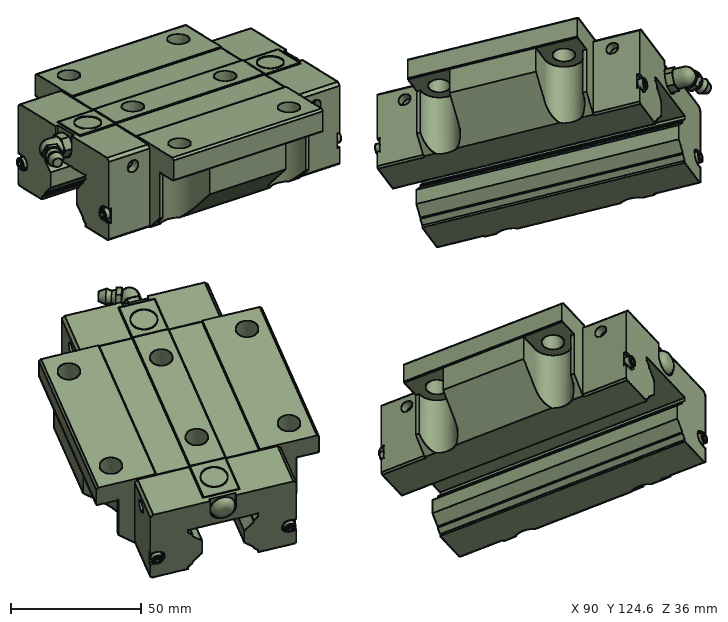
import cadquery as cq
import math

height = 36.0
block_width = 90.0
block_length = 71.0

flange_bottom_z = 26.3
flange_top_chamfer = 0.9
flange_bottom_chamfer = 0.4
foot_half_width = block_width / 2 - flange_bottom_chamfer
foot_slope_start_z = 15.2
top_step = 0.4
center_strip_half_width = 7.1
outer_pad_inner_x = 21.0

hole_diameter = 8.7
corner_hole_pitch_x = 72.0
corner_hole_pitch_y = 52.0
center_hole_pitch_y = 44.0
clearance_radius = 8.0

end_half_width = 29.5
end_half_length = 54.9
seal_thickness = 2.5
end_top_z = height - 2 * top_step
end_top_chamfer = 1.2
end_bottom_chamfer = 0.7
cap_port_y = 43.5
top_port_radius = 5.2
top_port_depth = 0.4
side_port_radius = 2.5
side_port_depth = 3.7
side_port_z = 28.8

opening_half_width = 14.2
opening_top_z = 21.9
lip_half_width = 12.3
throat_half_width = 8.5
lower_lip_z = 3.5
lower_lip_step = 0.6
upper_lip_z = 18.5
upper_lip_step = 0.7

screw_x = 26.8
screw_z = 10.6
screw_pocket_radius = 3.1
screw_head_radius = 2.2
screw_head_height = 2.4
screw_edge_chamfer = 0.2
socket_corner_diameter = 2.7
socket_depth = 1.2

port_z = 29.4
port_radius = 5.2
pocket_depth = 1.1
plug_radius = 5.0
plug_height = 3.1
plug_fillet = 3.0
base_hex_flats = 8.2
base_hex_length = 3.9
elbow_radius = 4.0
elbow_length = 3.7
nipple_angle = 22.0
collar_hex_flats = 6.8
collar_start = 3.0
collar_end = 5.1
neck_root_radius = 3.0
neck_end_radius = 2.4
neck_end = 6.8
bead_radius = 3.1
bead_end = 9.0
tip_radius = 1.9
tip_end = 12.0

pocket_floor_y = end_half_length - pocket_depth
ENDS = (-1, 1)
SIDES = (-1, 1)


def centered_box(x_size, y_size, z_min, z_max):
    """Box centered on X = Y = 0 between two heights."""
    return cq.Workplane("XY").workplane(offset=z_min).rect(x_size, y_size).extrude(z_max - z_min)


def along_y(x, y, z, direction):
    """Workplane at a point whose normal runs along +Y or -Y."""
    plane = cq.Plane(origin=(x, y, z), xDir=(1, 0, 0), normal=(0, direction, 0))
    return cq.Workplane(plane)


def extrude_along_y(points, length):
    """Extrude an XZ outline symmetrically about Y = 0."""
    return cq.Workplane("XZ").polyline(points).close().extrude(length / 2, both=True)


def hexagon_diameter(flats):
    """Corner-to-corner size of a hexagon from its size across flats."""
    return flats / math.cos(math.pi / 6)


def make_block():
    """Flanged steel block with a sloped foot."""
    flange = centered_box(block_width, block_length, flange_bottom_z, height)
    flange = flange.edges("|Y and >Z").chamfer(flange_top_chamfer)
    flange = flange.edges("|Y and <Z").chamfer(flange_bottom_chamfer)

    foot_bottom_x = foot_half_width - foot_slope_start_z
    half = [(foot_bottom_x, 0), (foot_half_width, foot_slope_start_z), (foot_half_width, flange_bottom_z)]
    foot = extrude_along_y(half + [(-x, z) for x, z in reversed(half)], block_length)
    block = flange.union(foot)

    groove_floor_z = height - top_step
    for side in SIDES:
        groove = [
            (side * center_strip_half_width, height),
            (side * (center_strip_half_width + top_step), groove_floor_z),
            (side * (outer_pad_inner_x - top_step), groove_floor_z),
            (side * outer_pad_inner_x, height),
        ]
        block = block.cut(extrude_along_y(groove, block_length))
    return cut_clearances(block)


def cut_clearances(block):
    """Open screw clearances under the corner holes, with the foot trimmed beyond them."""
    hole_x = corner_hole_pitch_x / 2
    hole_y = corner_hole_pitch_y / 2
    reach = block_width / 2 - hole_x
    trim_length = block_length / 2 - hole_y
    round_end = cq.Workplane("XY").circle(clearance_radius).extrude(flange_bottom_z)
    mouth = centered_box(reach, 2 * clearance_radius, 0, flange_bottom_z)
    end_trim = centered_box(reach, trim_length, 0, flange_bottom_z)
    for side in SIDES:
        for end in ENDS:
            mouth_x = side * (hole_x + reach / 2)
            block = block.cut(round_end.translate((side * hole_x, end * hole_y, 0)))
            block = block.cut(mouth.translate((mouth_x, end * hole_y, 0)))
            block = block.cut(end_trim.translate((mouth_x, end * (hole_y + trim_length / 2), 0)))
    return block


def make_end_body(y_size):
    """End piece section with beveled upper and lower edges."""
    body = centered_box(2 * end_half_width, y_size, 0, end_top_z)
    body = body.edges("|Y and >Z").chamfer(end_top_chamfer)
    return body.edges("|Y and <Z").chamfer(end_bottom_chamfer)


def make_end(end):
    """End cap and end seal at the -Y or +Y end of the block."""
    cap_length = end_half_length - seal_thickness - block_length / 2
    cap_y = end * (block_length + cap_length) / 2
    strip_foot = center_strip_half_width + top_step
    strip_outline = [
        (-strip_foot, end_top_z),
        (strip_foot, end_top_z),
        (center_strip_half_width, end_top_z + top_step),
        (-center_strip_half_width, end_top_z + top_step),
    ]
    strip = extrude_along_y(strip_outline, cap_length)
    cap = make_end_body(cap_length).union(strip).translate((0, cap_y, 0))

    top_port = (
        cq.Workplane("XY", origin=(0, end * cap_port_y, end_top_z + top_step))
        .circle(top_port_radius)
        .extrude(-top_port_depth)
    )
    cap = cap.cut(top_port)
    for side in SIDES:
        side_port = (
            cq.Workplane("YZ", origin=(side * end_half_width, end * cap_port_y, side_port_z))
            .circle(side_port_radius)
            .extrude(-side * side_port_depth)
        )
        cap = cap.cut(side_port)

    seal = make_end_body(seal_thickness).translate((0, end * (end_half_length - seal_thickness / 2), 0))
    seal = seal.cut(make_grease_pocket(end))
    for side in SIDES:
        seal = seal.cut(make_screw_pocket(side, end))
    return cap.union(seal, clean=False)


def make_grease_pocket(end):
    """Round-bottomed pocket in the seal, open at the top."""
    floor = along_y(0, end * pocket_floor_y, port_z, end)
    slot = centered_box(2 * port_radius, pocket_depth, port_z, height)
    slot = slot.translate((0, end * (pocket_floor_y + pocket_depth / 2), 0))
    return floor.circle(port_radius).extrude(pocket_depth).union(slot)


def make_screw_pocket(side, end):
    """Round pocket in the seal, open at the outer side."""
    pocket = along_y(side * screw_x, end * pocket_floor_y, screw_z, end)
    pocket = pocket.circle(screw_pocket_radius).extrude(pocket_depth)
    reach = end_half_width - screw_x
    mouth = centered_box(reach, pocket_depth, screw_z - screw_pocket_radius, screw_z + screw_pocket_radius)
    mouth_y = end * (pocket_floor_y + pocket_depth / 2)
    return pocket.union(mouth.translate((side * (screw_x + reach / 2), mouth_y, 0)))


def make_screw(side, end):
    """Socket head standing on the pocket floor."""
    head = along_y(side * screw_x, end * pocket_floor_y, screw_z, end)
    head = head.circle(screw_head_radius).extrude(screw_head_height)
    outer_face = ">Y" if end > 0 else "<Y"
    head = head.faces(outer_face).edges().chamfer(screw_edge_chamfer)
    socket = along_y(side * screw_x, end * (pocket_floor_y + screw_head_height), screw_z, end)
    return head.cut(socket.polygon(6, socket_corner_diameter).extrude(-socket_depth))


def make_plug():
    """Rounded plug closing the grease port at the +Y end."""
    plug = along_y(0, pocket_floor_y, port_z, 1).circle(plug_radius).extrude(plug_height)
    return plug.faces(">Y").edges().fillet(plug_fillet)


def make_nipple():
    """Elbowed grease nipple at the -Y end."""
    base_end_y = -pocket_floor_y - base_hex_length
    elbow_y = base_end_y - elbow_length
    nipple = along_y(0, -pocket_floor_y, port_z, -1)
    nipple = nipple.polygon(6, hexagon_diameter(base_hex_flats)).extrude(base_hex_length)
    nipple = nipple.union(along_y(0, base_end_y, port_z, -1).circle(elbow_radius).extrude(elbow_length))
    nipple = nipple.union(cq.Workplane("XY").sphere(elbow_radius).translate((0, elbow_y, port_z)))

    branch_profile = [
        (0, 0),
        (0, neck_root_radius),
        (collar_end, neck_root_radius),
        (neck_end, neck_end_radius),
        (bead_end, bead_radius),
        (tip_end, tip_radius),
        (tip_end, 0),
    ]
    branch = cq.Workplane("XY").polyline(branch_profile).close().revolve(360, (0, 0, 0), (1, 0, 0))
    collar = (
        cq.Workplane("YZ", origin=(collar_start, 0, 0))
        .polygon(6, hexagon_diameter(collar_hex_flats))
        .extrude(collar_end - collar_start)
    )
    branch = branch.union(collar).rotate((0, 0, 0), (0, 0, 1), -nipple_angle)
    return nipple.union(branch.translate((0, elbow_y, port_z)))


def make_rail_opening():
    """Rail-shaped opening through the whole length, with 45 degree flanks."""
    lip_depth = opening_half_width - lip_half_width
    throat_depth = lip_half_width - throat_half_width
    lower_lip_start_z = lower_lip_z - lower_lip_step
    upper_lip_start_z = upper_lip_z - upper_lip_step
    half = [
        (opening_half_width, 0),
        (opening_half_width, lower_lip_start_z - lip_depth),
        (lip_half_width, lower_lip_start_z),
        (lip_half_width, lower_lip_z),
        (throat_half_width, lower_lip_z + throat_depth),
        (throat_half_width, upper_lip_start_z - throat_depth),
        (lip_half_width, upper_lip_start_z),
        (lip_half_width, upper_lip_z),
        (opening_half_width, upper_lip_z + lip_depth),
        (opening_half_width, opening_top_z),
    ]
    outline = half + [(-x, z) for x, z in reversed(half)]
    return extrude_along_y(outline, 2 * end_half_length)


def make_mounting_holes():
    """Four corner holes and two holes on the center line, all straight through."""
    holes = (
        cq.Workplane("XY")
        .rect(corner_hole_pitch_x, corner_hole_pitch_y, forConstruction=True)
        .vertices()
        .circle(hole_diameter / 2)
        .extrude(height)
    )
    for end in ENDS:
        center = cq.Workplane("XY").center(0, end * center_hole_pitch_y / 2)
        holes = holes.union(center.circle(hole_diameter / 2).extrude(height))
    return holes


result = make_block()
for end in ENDS:
    result = result.union(make_end(end), clean=False)
result = result.cut(make_rail_opening(), clean=False).cut(make_mounting_holes(), clean=False)
for end in ENDS:
    for side in SIDES:
        result = result.union(make_screw(side, end), clean=False)
result = result.union(make_plug(), clean=False).union(make_nipple(), clean=False)